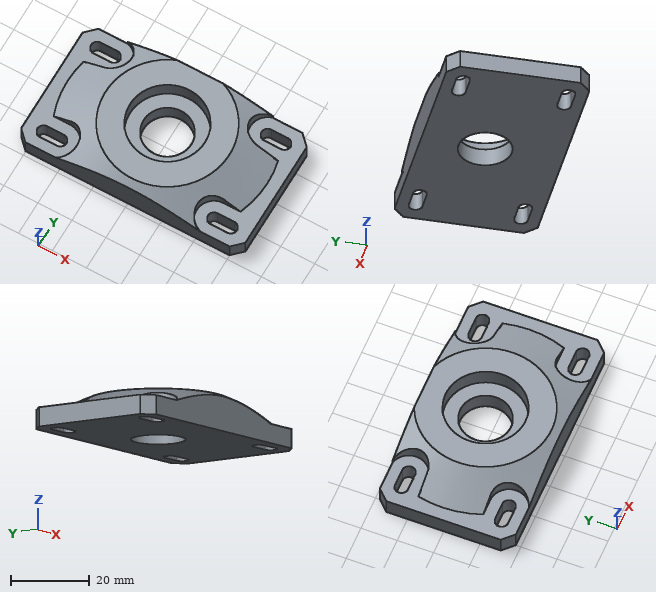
import cadquery as cq

length = 66.0
width = 37.5
plate_height = 5.0
corner_chamfer = 3.0

total_height = 10.0
hub_y = 1.8
hub_base_radius = 29.45
hub_top_radius = 18.2
bore_diameter = 14.0
seat_diameter = 22.05
seat_depth = total_height - plate_height

slot_length = 8.5
slot_width = 3.55
slot_x = 25.1
slot_y = 13.8
pocket_radius = 5.1
pocket_center_x = slot_x - (slot_length - slot_width) / 2

hub_height = total_height - plate_height


def make_plate(height):
    """Plate outline with chamfered corners, standing on Z = 0."""
    block = cq.Workplane("XY").box(length, width, height, centered=(True, True, False))
    return block.edges("|Z").chamfer(corner_chamfer)


def make_hub():
    """Truncated cone on the plate, trimmed to the plate outline."""
    cone = (
        cq.Workplane("XY", origin=(0, hub_y, plate_height))
        .circle(hub_base_radius)
        .workplane(offset=hub_height)
        .circle(hub_top_radius)
        .loft(ruled=True)
    )
    return cone.intersect(make_plate(total_height))


def make_pocket(side_x, side_y):
    """Round-ended clearance, open toward the plate end, above the plate."""
    reach = length / 2 - pocket_center_x
    base = cq.Workplane("XY", origin=(side_x * pocket_center_x, side_y * slot_y, plate_height))
    round_end = base.circle(pocket_radius).extrude(hub_height)
    channel = base.center(side_x * reach / 2, 0).rect(reach, 2 * pocket_radius).extrude(hub_height)
    return round_end.union(channel)


hub = make_hub()
for side_x in (-1, 1):
    for side_y in (-1, 1):
        hub = hub.cut(make_pocket(side_x, side_y))

slot_centers = [(sx * slot_x, sy * slot_y) for sx in (-1, 1) for sy in (-1, 1)]
slots = cq.Workplane("XY").pushPoints(slot_centers).slot2D(slot_length, slot_width).extrude(plate_height)

bore = cq.Workplane("XY").center(0, hub_y).circle(bore_diameter / 2).extrude(total_height)
seat = (
    cq.Workplane("XY", origin=(0, hub_y, total_height - seat_depth))
    .circle(seat_diameter / 2)
    .extrude(seat_depth)
)

result = make_plate(plate_height).union(hub).cut(slots).cut(bore).cut(seat)